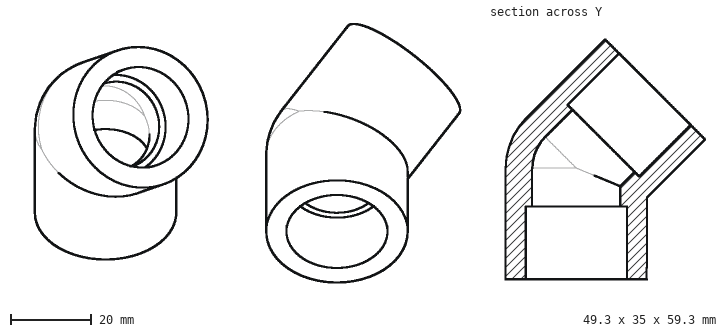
import cadquery as cq
import math

total_height = 59.3
outer_diameter = 35.0
socket_diameter = 25.0
bore_diameter = 21.65
socket_depth = 18.0
bend_angle = 45.0

bend = math.radians(bend_angle)
outer_radius = outer_diameter / 2
leg_length = (total_height - outer_radius * math.sin(bend)) / (1 + math.cos(bend))

bend_centre = cq.Vector(0, 0, leg_length)
down = cq.Vector(0, 0, -1)
up_and_over = cq.Vector(math.sin(bend), 0, math.cos(bend))
leg_directions = (down, up_and_over)


def elbow(diameter):
    """Two equal round legs joined by a ball at the bend centre."""
    radius = diameter / 2
    body = cq.Workplane("XY").sphere(radius).translate(bend_centre)
    for direction in leg_directions:
        leg = cq.Solid.makeCylinder(radius, leg_length, bend_centre, direction)
        body = body.union(cq.Workplane(leg))
    return body


def socket(direction):
    """Pipe socket sunk into the mouth of one leg, ending at a shoulder."""
    mouth = bend_centre + direction * leg_length
    return cq.Workplane(
        cq.Solid.makeCylinder(socket_diameter / 2, socket_depth, mouth, direction * -1)
    )


result = elbow(outer_diameter).cut(elbow(bore_diameter))
for leg_direction in leg_directions:
    result = result.cut(socket(leg_direction))